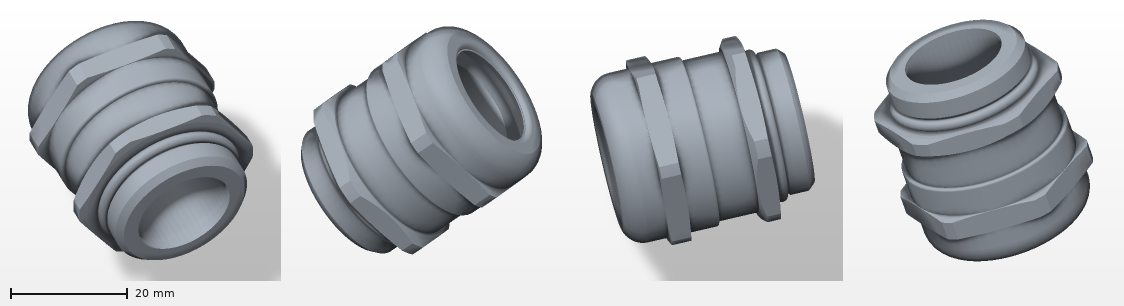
import cadquery as cq
import math

LENGTH = 33.85
HEX_FLATS = 30.0

CAP_DIA = 29.8
CAP_END = 16.28
CAP_NOSE_LENGTH = 3.8
CAP_NOSE_DEPTH = 2.67
CAP_END_ROUND = 0.4
CAP_HEX_START = 7.1
CAP_HEX_END = 11.05
CAP_HEX_CORNERS = 33.5
CAP_HEX_RELIEF = 0.27
MOUTH_DIA = 18.5
MOUTH_ROUND = 0.85
LIP_DIA = 18.0
LIP_BACK = 1.0
CAVITY_DIA = 25.5

BODY_START = 4.57
BODY_DIA = 28.3
BODY_HEX_START = 23.28
BODY_HEX_END = 26.9
BODY_HEX_CORNERS = 32.95
BODY_HEX_FRONT_RELIEF = 1.0
BODY_HEX_FRONT_FACE_DIA = 29.65
BODY_HEX_BACK_RELIEF = 0.25
NECK_DIA = 22.8
SPIGOT_DIA = 25.0
SPIGOT_SHOULDER_DIA = 24.0
SHOULDER_BEVEL_LENGTH = 0.55
ENTRY_CHAMFER_LENGTH = 1.2

RING_DIA = 26.77
RING_SECTION_RADIUS = (RING_DIA - NECK_DIA) / 4
NECK_END = BODY_HEX_END + 2 * RING_SECTION_RADIUS

INSERT_DIA = 20.6
INSERT_END = BODY_HEX_START
BORE_DIA = 17.33


def revolve_profile(profile):
    """Turn a closed profile, drawn as (x, radius), about the X axis."""
    return profile.close().revolve(360, (0, 0, 0), (1, 0, 0))


def cylinder(start, end, diameter):
    """Solid cylinder along X from start to end."""
    return cq.Workplane("YZ", origin=(start, 0, 0)).circle(diameter / 2).extrude(end - start)


def bevelled_hexagon(start, end, corner_dia, front_dia, front_relief, back_relief):
    """Hexagon with flats on +Z and -Z, its corners trimmed round and bevelled at both ends."""
    corner_to_corner = HEX_FLATS / math.cos(math.radians(30))
    prism = cq.Workplane("YZ", origin=(start, 0, 0)).polygon(6, corner_to_corner).extrude(end - start)
    envelope = revolve_profile(
        cq.Workplane("XY")
        .moveTo(start, 0)
        .lineTo(start, front_dia / 2)
        .lineTo(start + front_relief, corner_dia / 2)
        .lineTo(end - back_relief, corner_dia / 2)
        .lineTo(end, HEX_FLATS / 2)
        .lineTo(end, 0)
    )
    return prism.intersect(envelope)


def make_cap():
    """Cap nut: round-nosed shell with a rounded mouth, a hexagon and an inner cavity."""
    radius = CAP_DIA / 2
    nose_radius = (CAP_NOSE_LENGTH**2 + CAP_NOSE_DEPTH**2) / (2 * CAP_NOSE_DEPTH)
    half_angle = math.asin(CAP_NOSE_LENGTH / nose_radius) / 2
    nose_mid = (
        CAP_NOSE_LENGTH - nose_radius * math.sin(half_angle),
        radius - nose_radius * (1 - math.cos(half_angle)),
    )
    shell = revolve_profile(
        cq.Workplane("XY")
        .moveTo(0, 0)
        .lineTo(0, radius - CAP_NOSE_DEPTH)
        .threePointArc(nose_mid, (CAP_NOSE_LENGTH, radius))
        .lineTo(CAP_END - CAP_END_ROUND, radius)
        .radiusArc((CAP_END, radius - CAP_END_ROUND), CAP_END_ROUND)
        .lineTo(CAP_END, 0)
    )
    hexagon = bevelled_hexagon(
        CAP_HEX_START, CAP_HEX_END, CAP_HEX_CORNERS, HEX_FLATS, CAP_HEX_RELIEF, CAP_HEX_RELIEF
    )
    mouth_radius = MOUTH_DIA / 2
    opening = revolve_profile(
        cq.Workplane("XY")
        .moveTo(0, 0)
        .lineTo(0, mouth_radius + MOUTH_ROUND)
        .radiusArc((MOUTH_ROUND, mouth_radius), -MOUTH_ROUND)
        .lineTo(MOUTH_ROUND, LIP_DIA / 2)
        .lineTo(LIP_BACK, LIP_DIA / 2)
        .lineTo(LIP_BACK, CAVITY_DIA / 2)
        .lineTo(BODY_START, CAVITY_DIA / 2)
        .lineTo(BODY_START, BODY_DIA / 2)
        .lineTo(CAP_END, BODY_DIA / 2)
        .lineTo(CAP_END, 0)
    )
    return shell.union(hexagon).cut(opening)


def make_body():
    """Gland body: stepped barrel with a hexagon, O-ring seat, chamfered spigot and insert seat."""
    barrel = revolve_profile(
        cq.Workplane("XY")
        .moveTo(BODY_START, 0)
        .lineTo(BODY_START, BODY_DIA / 2)
        .lineTo(BODY_HEX_END, BODY_DIA / 2)
        .lineTo(BODY_HEX_END, NECK_DIA / 2)
        .lineTo(NECK_END, NECK_DIA / 2)
        .lineTo(NECK_END, SPIGOT_SHOULDER_DIA / 2)
        .lineTo(NECK_END + SHOULDER_BEVEL_LENGTH, SPIGOT_DIA / 2)
        .lineTo(LENGTH - ENTRY_CHAMFER_LENGTH, SPIGOT_DIA / 2)
        .lineTo(LENGTH, NECK_DIA / 2)
        .lineTo(LENGTH, 0)
    )
    hexagon = bevelled_hexagon(
        BODY_HEX_START,
        BODY_HEX_END,
        BODY_HEX_CORNERS,
        BODY_HEX_FRONT_FACE_DIA,
        BODY_HEX_FRONT_RELIEF,
        BODY_HEX_BACK_RELIEF,
    )
    insert_seat = cylinder(BODY_START, INSERT_END, INSERT_DIA)
    bore = cylinder(BODY_START, LENGTH, BORE_DIA)
    return barrel.union(hexagon).cut(insert_seat).cut(bore)


def make_insert():
    """Sealing insert: plain sleeve, flush with the front face of the body."""
    bore = cylinder(BODY_START, INSERT_END, BORE_DIA)
    return cylinder(BODY_START, INSERT_END, INSERT_DIA).cut(bore)


def make_o_ring():
    """O-ring filling the width of its seat between the hexagon and the spigot."""
    centre_x = (BODY_HEX_END + NECK_END) / 2
    centre_radius = RING_DIA / 2 - RING_SECTION_RADIUS
    section = cq.Workplane("XY").center(centre_x, centre_radius).circle(RING_SECTION_RADIUS)
    return section.revolve(360, (0, -centre_radius, 0), (1, -centre_radius, 0))


cap = make_cap()
body = make_body()
insert = make_insert()
o_ring = make_o_ring()

result = cq.Compound.makeCompound([cap.val(), body.val(), insert.val(), o_ring.val()])